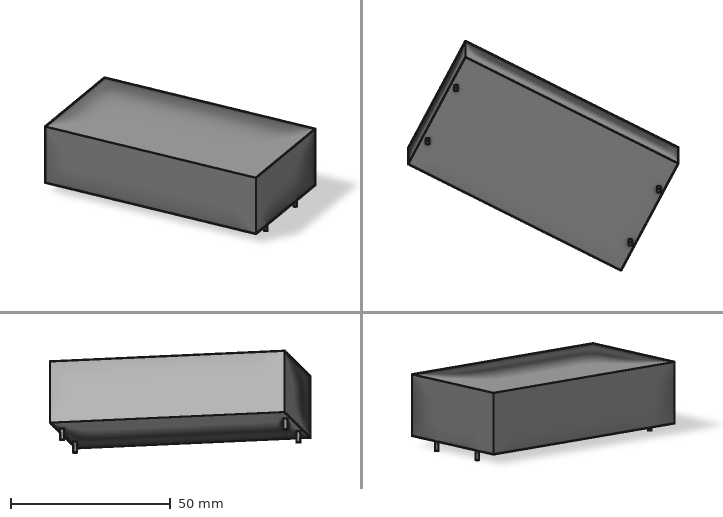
import cadquery as cq

length = 75.0
width = 39.0
total_height = 23.1
pin_length = 3.45
body_height = total_height - pin_length

pin_diameter = 1.2
pin_end_inset = 1.8
pin_spacing_x = length - 2 * pin_end_inset
pin_spacing_y = 19.35


def make_body():
    """Plain block with its underside at Z = 0."""
    return cq.Workplane("XY").box(length, width, body_height, centered=(True, True, False))


def make_pins():
    """Two pins near each end, hanging from the underside."""
    return (
        cq.Workplane("XY")
        .rarray(pin_spacing_x, pin_spacing_y, 2, 2)
        .circle(pin_diameter / 2)
        .extrude(-pin_length)
    )


result = make_body().union(make_pins())